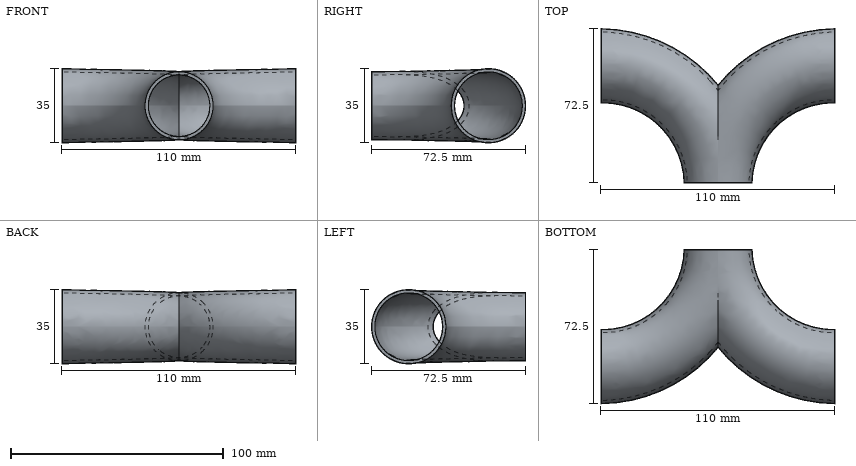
import cadquery as cq

span = 110.0
bend_radius = span / 2
inlet_diameter = 32.0
outlet_diameter = 35.0
wall = 1.5


def tapered_bend(start_diameter, end_diameter):
    """Solid quarter bend from the inlet at the origin (+Y) to the outlet facing -X."""
    path = cq.Edge.makeTangentArc(
        cq.Vector(0, 0, 0), cq.Vector(0, 1, 0), cq.Vector(-bend_radius, bend_radius, 0)
    )
    inlet = cq.Wire.makeCircle(start_diameter / 2, path.startPoint(), path.tangentAt(0))
    outlet = cq.Wire.makeCircle(end_diameter / 2, path.endPoint(), path.tangentAt(1))
    return cq.Workplane("XY").add(cq.Solid.sweep_multi([inlet, outlet], path))


def mirrored_pair(bend):
    """Join a bend with its mirror image across the YZ plane."""
    return bend.union(bend.mirror("YZ"))


body = mirrored_pair(tapered_bend(inlet_diameter, outlet_diameter))

bore = mirrored_pair(tapered_bend(inlet_diameter - 2 * wall, outlet_diameter - 2 * wall))

result = body.cut(bore)